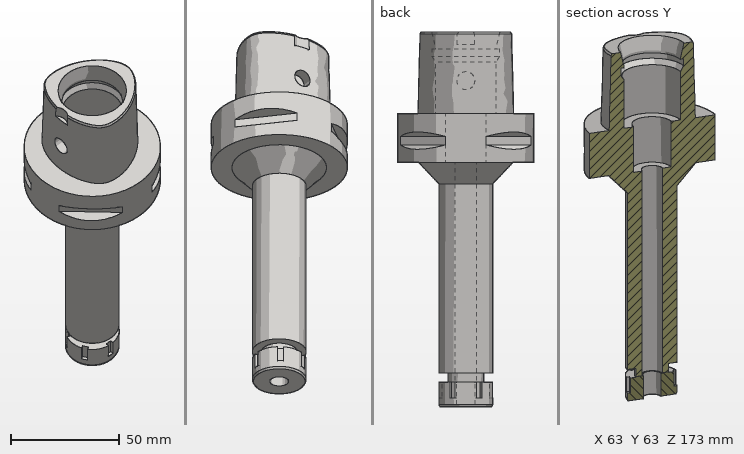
import cadquery as cq
import math

TOTAL_LENGTH = 173.0
TAPER_HEIGHT = 37.7

TAPER_MEAN_RADIUS = 22.1
TAPER_LOBE = 1.65
TAPER_SLOPE = 1 / 40
RIM_CHAMFER_HEIGHT = 1.0
RIM_CHAMFER_WIDTH = 0.5
OUTLINE_POINTS = 36

ENTRY_RADIUS = 15.7
BORE_RADIUS = 14.0
ENTRY_DEPTH = 7.0
GROOVE_START_DEPTH = 8.0
GROOVE_RADIUS = 15.5
GROOVE_DEPTH = 11.2
GROOVE_FLANK_HEIGHT = 2.6
BOLT_HOLE_RADIUS = 9.3
COOLANT_RADIUS = 5.0

NOTCH_HEIGHT = 5.9
NOTCH_RADIUS = 5.9
NOTCH_INNER_DISTANCE = 17.8
SIDE_HOLE_RADIUS = 4.2
SIDE_HOLE_Z = 15.2
SIDE_HOLE_FLOOR_DISTANCE = 14.7

FLANGE_RADIUS = 31.5
FLANGE_HEIGHT = 22.5
GRIPPER_COUNT = 4
GRIPPER_FLOOR_DISTANCE = 27.9
GRIPPER_FLOOR_HEIGHT = 3.8
GRIPPER_FLANK_ANGLE = 30.0
GRIPPER_Z = -12.5

CONE_RADIUS = 21.8
CONE_HEIGHT = 9.9
SHAFT_RADIUS = 12.5
NECK_RADIUS = 8.3
NECK_LENGTH = 4.2

NUT_HEIGHT = 11.5
NUT_HOLE_RADIUS = 4.3
NUT_CHAMFER_HEIGHT = 1.0
NUT_CHAMFER_WIDTH = 0.5
NUT_SLOT_COUNT = 6
NUT_SLOT_WIDTH = 2.8
NUT_SLOT_HEIGHT = 7.3
NUT_SLOT_DEPTH = 1.5

nut_bottom = TAPER_HEIGHT - TOTAL_LENGTH
nut_top = nut_bottom + NUT_HEIGHT
shaft_bottom = nut_top + NECK_LENGTH


def taper_outline(mean_radius, z):
    """Closed three-lobed wire with one lobe towards +Y."""
    points = []
    for i in range(OUTLINE_POINTS):
        t = 2 * math.pi * i / OUTLINE_POINTS
        x = mean_radius * math.sin(t) + TAPER_LOBE * (2 * math.sin(2 * t) + math.sin(4 * t))
        y = -mean_radius * math.cos(t) + TAPER_LOBE * (2 * math.cos(2 * t) - math.cos(4 * t))
        points.append(cq.Vector(x, y, z))
    return cq.Wire.assembleEdges([cq.Edge.makeSpline(points, periodic=True)])


def taper_shank():
    """Tapered polygon with a chamfered rim."""
    chamfer_z = TAPER_HEIGHT - RIM_CHAMFER_HEIGHT
    chamfer_radius = TAPER_MEAN_RADIUS - chamfer_z * TAPER_SLOPE
    base = taper_outline(TAPER_MEAN_RADIUS, 0)
    chamfer_start = taper_outline(chamfer_radius, chamfer_z)
    rim = taper_outline(chamfer_radius - RIM_CHAMFER_WIDTH, TAPER_HEIGHT)
    taper = cq.Solid.makeLoft([base, chamfer_start], True)
    chamfer = cq.Solid.makeLoft([chamfer_start, rim], True)
    return cq.Workplane(taper).union(cq.Workplane(chamfer))


def revolve_profile(points):
    """Solid of revolution about Z from (radius, z) points."""
    return cq.Workplane("XZ").polyline(points).close().revolve(360, (0, 0), (0, 1))


def flange_and_shaft():
    return revolve_profile([
        (0, 0),
        (FLANGE_RADIUS, 0),
        (FLANGE_RADIUS, -FLANGE_HEIGHT),
        (CONE_RADIUS, -FLANGE_HEIGHT),
        (SHAFT_RADIUS, -FLANGE_HEIGHT - CONE_HEIGHT),
        (SHAFT_RADIUS, shaft_bottom),
        (NECK_RADIUS, shaft_bottom),
        (NECK_RADIUS, nut_top),
        (0, nut_top),
    ])


def holder_bore():
    """Tapered entry, groove with a sloping lower flank, bore, bolt hole and coolant hole."""
    groove_top = TAPER_HEIGHT - GROOVE_START_DEPTH
    groove_bottom = TAPER_HEIGHT - GROOVE_DEPTH
    flank_bottom = groove_bottom - GROOVE_FLANK_HEIGHT
    bolt_hole_bottom = -FLANGE_HEIGHT
    return revolve_profile([
        (0, TAPER_HEIGHT),
        (ENTRY_RADIUS, TAPER_HEIGHT),
        (BORE_RADIUS, TAPER_HEIGHT - ENTRY_DEPTH),
        (BORE_RADIUS, groove_top),
        (GROOVE_RADIUS, groove_top),
        (GROOVE_RADIUS, groove_bottom),
        (BORE_RADIUS, flank_bottom),
        (BORE_RADIUS, 0),
        (BOLT_HOLE_RADIUS, 0),
        (BOLT_HOLE_RADIUS, bolt_hole_bottom),
        (COOLANT_RADIUS, bolt_hole_bottom),
        (COOLANT_RADIUS, nut_top),
        (0, nut_top),
    ])


def driving_notch():
    """Upright round scoop in the rim."""
    return (
        cq.Workplane("XY", origin=(0, -NOTCH_INNER_DISTANCE - NOTCH_RADIUS, TAPER_HEIGHT - NOTCH_HEIGHT))
        .circle(NOTCH_RADIUS)
        .extrude(NOTCH_HEIGHT)
    )


def side_hole():
    """Blind hole in the -Y wall; its flat floor stops just short of the bore."""
    return (
        cq.Workplane("XZ", origin=(0, -SIDE_HOLE_FLOOR_DISTANCE, SIDE_HOLE_Z))
        .circle(SIDE_HOLE_RADIUS)
        .extrude(TAPER_MEAN_RADIUS - SIDE_HOLE_FLOOR_DISTANCE)
    )


def gripper_groove(angle):
    """Straight groove with a flat floor and flared flanks, cut across the flange at one angle."""
    depth = FLANGE_RADIUS - GRIPPER_FLOOR_DISTANCE
    floor_half = GRIPPER_FLOOR_HEIGHT / 2
    mouth_half = floor_half + depth * math.tan(math.radians(GRIPPER_FLANK_ANGLE))
    groove = (
        cq.Workplane("XZ")
        .polyline([
            (GRIPPER_FLOOR_DISTANCE, GRIPPER_Z - floor_half),
            (FLANGE_RADIUS, GRIPPER_Z - mouth_half),
            (FLANGE_RADIUS, GRIPPER_Z + mouth_half),
            (GRIPPER_FLOOR_DISTANCE, GRIPPER_Z + floor_half),
        ])
        .close()
        .extrude(FLANGE_RADIUS, both=True)
    )
    return groove.rotate((0, 0, 0), (0, 0, 1), angle)


def make_holder():
    holder = taper_shank().union(flange_and_shaft())
    holder = holder.cut(holder_bore()).cut(driving_notch()).cut(side_hole())
    step = 360 / GRIPPER_COUNT
    for i in range(GRIPPER_COUNT):
        holder = holder.cut(gripper_groove(step * (i + 0.5)))
    return holder


def nut_slot(angle):
    """Wrench slot in the rim of the nut, open at the top."""
    return (
        cq.Workplane("XY", origin=(0, 0, nut_top - NUT_SLOT_HEIGHT))
        .center(SHAFT_RADIUS, 0)
        .rect(2 * NUT_SLOT_DEPTH, NUT_SLOT_WIDTH)
        .extrude(NUT_SLOT_HEIGHT)
        .rotate((0, 0, 0), (0, 0, 1), angle)
    )


def make_nut():
    """Ring as wide as the shaft, seated against the end of the neck."""
    nut = revolve_profile([
        (NUT_HOLE_RADIUS, nut_top),
        (SHAFT_RADIUS, nut_top),
        (SHAFT_RADIUS, nut_bottom + NUT_CHAMFER_HEIGHT),
        (SHAFT_RADIUS - NUT_CHAMFER_WIDTH, nut_bottom),
        (NUT_HOLE_RADIUS, nut_bottom),
    ])
    for i in range(NUT_SLOT_COUNT):
        nut = nut.cut(nut_slot(360 / NUT_SLOT_COUNT * i))
    return nut


holder = make_holder()
nut = make_nut()

result = cq.Compound.makeCompound([holder.val(), nut.val()])